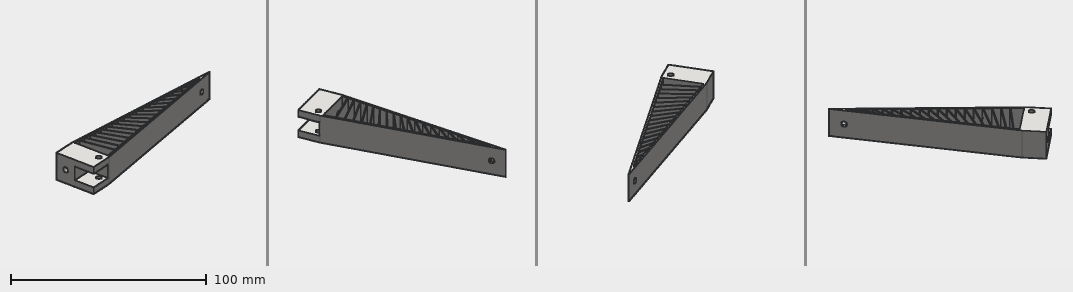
import cadquery as cq
import math

WIDTH = 24.0
LENGTH = 112.75
HEIGHT = 16.0

STRAIGHT_LENGTH = 12.5
TIP_WIDTH = 0.25
TAPER = (WIDTH - TIP_WIDTH) / 2 / (LENGTH - STRAIGHT_LENGTH)

CAVITY_START = 13.75
WALL_THICKNESS = 1.15

RIB_COUNT = 18
RIB_THICKNESS = 0.5
RIB_START_Y = 16.8
RIB_PITCH = 3.6
RIB_FIRST_ANGLE = 10.0
RIB_ANGLE_STEP = 3.0
RIB_LENGTH = 3 * WIDTH

SLOT_WIDTH = WIDTH / 2
SLOT_HEIGHT = HEIGHT / 2
SLOT_DEPTH = 12.0

HOLE_DIAMETER = 3.0
PIN_HOLE_X = 8.0
PIN_HOLE_Y = 9.6
CORD_HOLE_X = -WIDTH / 4
TIP_HOLE_Y = LENGTH - 7.75


def tapered_body():
    """Solid finger: parallel block, then straight taper to a narrow tip."""
    half_width = WIDTH / 2
    half_tip = TIP_WIDTH / 2
    outline = [
        (-half_width, 0),
        (half_width, 0),
        (half_width, STRAIGHT_LENGTH),
        (half_tip, LENGTH),
        (-half_tip, LENGTH),
        (-half_width, STRAIGHT_LENGTH),
    ]
    return cq.Workplane("XY").polyline(outline).close().extrude(HEIGHT)


def triangular_cavity():
    """Through-height triangle whose sides lie parallel to the tapered faces."""
    wall_across_x = WALL_THICKNESS * math.hypot(1, TAPER)
    outer_half_width = WIDTH / 2 - TAPER * (CAVITY_START - STRAIGHT_LENGTH)
    half_base = outer_half_width - wall_across_x
    apex_y = CAVITY_START + half_base / TAPER
    outline = [(-half_base, CAVITY_START), (half_base, CAVITY_START), (0, apex_y)]
    return cq.Workplane("XY").polyline(outline).close().extrude(HEIGHT)


def rib(index):
    """Full-height slanted plate, running from the -X side across the cavity."""
    angle = RIB_FIRST_ANGLE + index * RIB_ANGLE_STEP
    plate = cq.Workplane("XY").box(RIB_LENGTH, RIB_THICKNESS, HEIGHT, centered=(False, True, False))
    plate = plate.rotate((0, 0, 0), (0, 0, 1), angle)
    return plate.translate((-WIDTH / 2, RIB_START_Y + index * RIB_PITCH, 0))


def clevis_slot():
    """Box at mid height, from the middle of the block out through +X."""
    return (
        cq.Workplane("XY")
        .box(SLOT_WIDTH, SLOT_DEPTH, SLOT_HEIGHT, centered=(False, False, True))
        .translate((0, 0, HEIGHT / 2))
    )


def hole(start, direction, length):
    """Round drill of the common hole diameter."""
    drill = cq.Solid.makeCylinder(HOLE_DIAMETER / 2, length, cq.Vector(*start), cq.Vector(*direction))
    return cq.Workplane(drill)


cavity = triangular_cavity()
for rib_index in range(RIB_COUNT):
    cavity = cavity.cut(rib(rib_index))

pin_hole = hole((PIN_HOLE_X, PIN_HOLE_Y, 0), (0, 0, 1), HEIGHT)
cord_hole = hole((CORD_HOLE_X, 0, HEIGHT / 2), (0, 1, 0), CAVITY_START)

tip_hole_start = (-WIDTH / 2, TIP_HOLE_Y - TAPER * WIDTH / 2, HEIGHT / 2)
tip_hole = hole(tip_hole_start, (1, TAPER, 0), 2 * WIDTH)

result = tapered_body().cut(cavity).cut(clevis_slot())
result = result.cut(pin_hole).cut(cord_hole).cut(tip_hole)